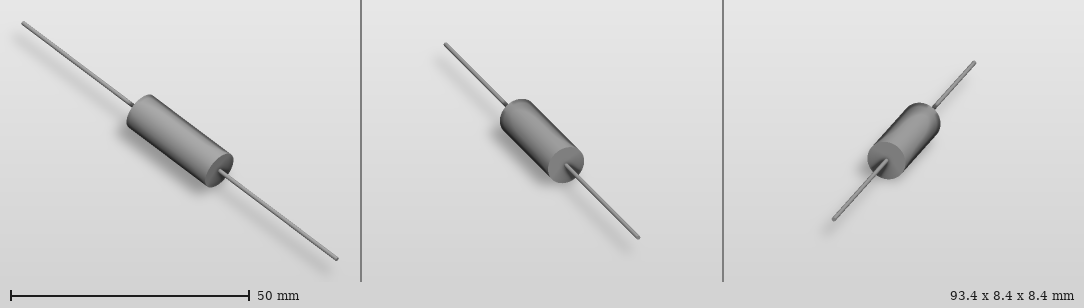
import cadquery as cq

overall_length = 93.4
body_length = 23.3
body_diameter = 8.4
lead_diameter = 0.91

lead_length = (overall_length - body_length) / 2


def make_cylinder(diameter, length, start_x):
    """Solid cylinder along X that begins at start_x."""
    return (
        cq.Workplane("YZ")
        .workplane(offset=start_x)
        .circle(diameter / 2)
        .extrude(length)
    )


def make_body():
    """Plain cylindrical component body, centred on the origin."""
    return make_cylinder(body_diameter, body_length, -body_length / 2)


def make_lead(start_x):
    """Straight round wire lead."""
    return make_cylinder(lead_diameter, lead_length, start_x)


body = make_body()

lead_starts = [-overall_length / 2, body_length / 2]
leads = [make_lead(start_x).val() for start_x in lead_starts]

result = cq.Compound.makeCompound([body.val(), *leads])